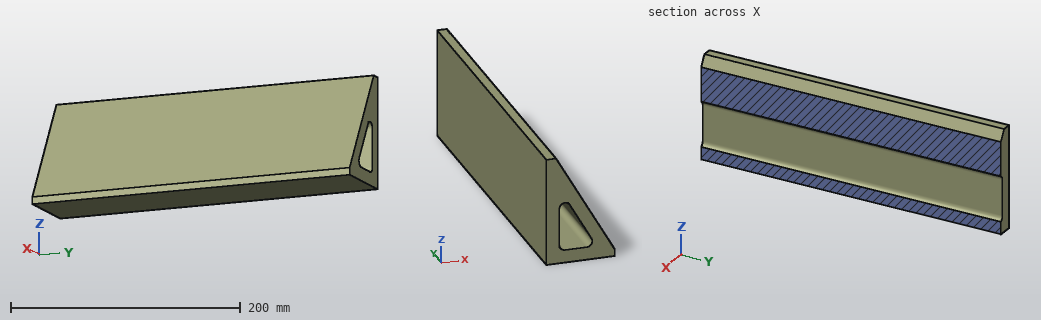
import cadquery as cq
import math

width = 63.0
length = 300.0
height = 100.0

top_land = 9.0
slope_angle = math.radians(60)
toe_height = height - (width - top_land) * math.tan(slope_angle)

wall = 12.0
corner_radius = 5.0


def slope_inset_x(z):
    """X of the channel's sloping side at height z, one wall inside the outer slope."""
    outer_x = width - (z - toe_height) / math.tan(slope_angle)
    return outer_x - wall / math.sin(slope_angle)


def make_body():
    outline = [
        (0, 0),
        (width, 0),
        (width, toe_height),
        (top_land, height),
        (0, height),
    ]
    return cq.Workplane("XZ").polyline(outline).close().extrude(-length)


def make_channel():
    floor_width = slope_inset_x(wall) - wall
    apex_height = wall + floor_width * math.tan(slope_angle)
    corners = [
        (wall, wall),
        (wall + floor_width, wall),
        (wall, apex_height),
    ]
    channel = cq.Workplane("XZ").polyline(corners).close().extrude(-length)
    return channel.edges("|Y").fillet(corner_radius)


result = make_body().cut(make_channel())